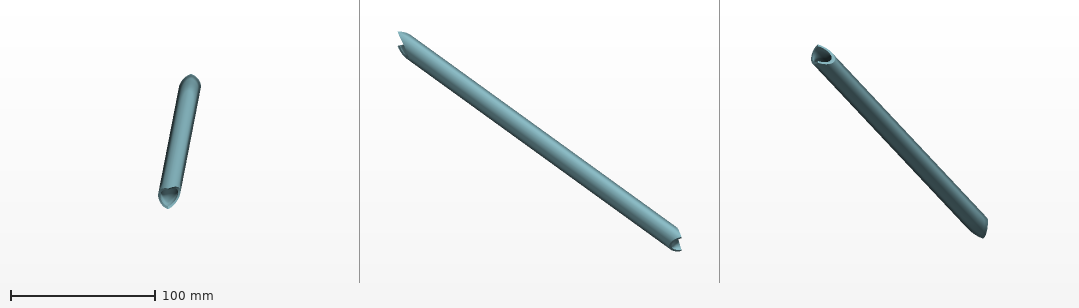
import cadquery as cq
import math

outer_diameter = 15.0
wall = 1.5
lip_x = 143.67
lip_y = -227.07
rise_z = 4.77

frame_diameter = 22.0

outer_radius = outer_diameter / 2
inner_radius = outer_radius - wall
frame_radius = frame_diameter / 2

lip_to_frame_axis = math.sqrt(frame_radius**2 - outer_radius**2)
frame_x = lip_x + lip_to_frame_axis
frame_y = lip_y - lip_to_frame_axis

axis_direction = cq.Vector(lip_x, lip_y, rise_z).normalized()
axis_to_corner = math.hypot(frame_x, frame_y)
near_overrun = 2 * outer_diameter
member_half_length = 2 * frame_diameter


def rod(radius):
    """Solid cylinder along the tube axis, from behind the origin to the frame corner."""
    start = axis_direction * -near_overrun
    stock_length = near_overrun + axis_to_corner
    return cq.Workplane(cq.Solid.makeCylinder(radius, stock_length, start, axis_direction))


def tube_stock():
    """Straight hollow tube with untrimmed ends."""
    return rod(outer_radius).cut(rod(inner_radius))


def corner_envelope():
    """Quarter space x > 0, y < 0 that trims the near end to two upright faces."""
    size = 2 * axis_to_corner
    box = cq.Workplane("XY").box(size, size, size, centered=(False, False, True))
    return box.translate((0, -size, 0))


def frame_member(direction):
    """Round frame member through the frame corner, long enough to cross the whole tube."""
    corner = cq.Vector(frame_x, frame_y, rise_z)
    start = corner - direction * member_half_length
    return cq.Workplane(cq.Solid.makeCylinder(frame_radius, 2 * member_half_length, start, direction))


result = tube_stock().intersect(corner_envelope())
for member_direction in (cq.Vector(1, 0, 0), cq.Vector(0, 1, 0)):
    result = result.cut(frame_member(member_direction))